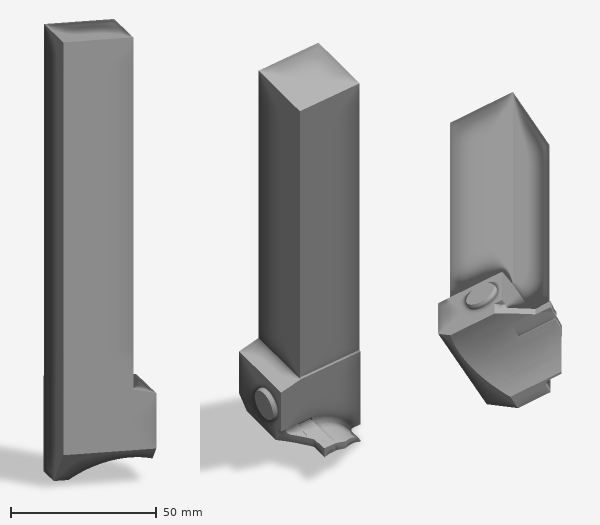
import cadquery as cq
import math


overall_length = 159.88
shank_size = 25.0
head_step = 0.5
head_top = 34.75
head_left = -shank_size - head_step
head_depth = 33.2
shoulder_angle = 13.5
corner_chamfer = 12.5

screw_diameter = 11.86
screw_top = 35.1
screw_x = -17.8
screw_z = 21.5
screw_rim_height = 1.0
screw_rim_width = 0.4

blade_apex_y = 25.0
outer_radius = 23.0
outer_apex_z = 12.5
inner_radius = 26.0
inner_apex_z = 9.0
blade_tip = -39.1
blade_flat_y = 15.7
blade_foot_x = -32.3
blade_foot_y = 4.4
root_radius = 1.5

gash_angle = 35.0
gash_ceiling = 14.0
gash_y_at_head = 31.0

edge_tip = -40.04
edge_back = -36.0
rake_y = 25.07
bar_front = 20.2
bar_back = 26.0
bar_bottom = inner_apex_z
bar_top = outer_apex_z
edge_bottom = 8.75
edge_top = 13.0
edge_narrowing = 0.25
relief_angle = 7.0
relief_end_y = 22.1

seat_end = head_left + 1.0
seat_ceiling = 14.0

outer_centre_z = outer_apex_z - outer_radius
inner_centre_z = inner_apex_z - inner_radius


def box(x0, x1, y0, y1, z0, z1):
    return cq.Workplane("XY").box(x1 - x0, y1 - y0, z1 - z0, centered=False).translate((x0, y0, z0))


def cylinder_along_x(radius, centre_z, x0, x1):
    return (
        cq.Workplane("YZ", origin=(x0, 0, 0))
        .center(blade_apex_y, centre_z)
        .circle(radius)
        .extrude(x1 - x0)
    )


def gash():
    """Everything behind the rake plane and the slanted gash wall, below the gash ceiling."""
    slope = math.tan(math.radians(gash_angle))
    wall_start_x = head_left - (gash_y_at_head - rake_y) / slope
    wall_end_x = head_left + (head_depth - gash_y_at_head) / slope
    return (
        cq.Workplane("XY")
        .polyline([
            (edge_tip, rake_y),
            (wall_start_x, rake_y),
            (wall_end_x, head_depth),
            (edge_tip, head_depth),
        ])
        .close()
        .extrude(gash_ceiling)
    )


def make_shank_and_head():
    shank = box(-shank_size, 0, 0, shank_size, 0, overall_length)
    head = box(head_left, 0, 0, head_depth, 0, head_top)
    step_bevel = (
        cq.Workplane("XZ")
        .polyline([
            (head_left, head_top),
            (head_left, head_top - head_step),
            (-shank_size, head_top),
        ])
        .close()
        .extrude(-head_depth)
    )
    shoulder_start_z = head_top - head_step
    drop = (head_depth - shank_size) * math.tan(math.radians(shoulder_angle))
    shoulder_cut = (
        cq.Workplane("YZ", origin=(head_left, 0, 0))
        .polyline([
            (shank_size, head_top),
            (shank_size, shoulder_start_z),
            (head_depth, shoulder_start_z - drop),
            (head_depth, head_top),
        ])
        .close()
        .extrude(-head_left)
    )
    corner_cut = (
        cq.Workplane("XZ")
        .polyline([(0, 0), (-corner_chamfer, 0), (0, corner_chamfer)])
        .close()
        .extrude(-head_depth)
    )
    return head.cut(step_bevel).cut(shoulder_cut).union(shank).cut(corner_cut)


def make_screw_head():
    radius = screw_diameter / 2
    rim_start = screw_top - screw_rim_height
    return (
        cq.Workplane("XY", origin=(screw_x, 0, screw_z))
        .polyline([
            (0, head_depth),
            (radius, head_depth),
            (radius, rim_start),
            (radius - screw_rim_width, screw_top),
            (0, screw_top),
        ])
        .close()
        .revolve(360, (0, 0, 0), (0, 1, 0))
    )


def make_blade():
    """Blade behind its outer arc, with the flared root that blends it into the head."""
    end_slope = (blade_foot_x - blade_tip) / (blade_flat_y - blade_foot_y)
    end_x_at_front = blade_foot_x + blade_foot_y * end_slope
    section = (
        cq.Workplane("XY", origin=(0, 0, outer_centre_z))
        .moveTo(blade_tip, 0)
        .lineTo(blade_tip, outer_radius)
        .lineTo(head_left - root_radius, outer_radius)
        .radiusArc((head_left, outer_radius + root_radius), -root_radius)
        .lineTo(head_left, 0)
        .close()
    )
    turned = section.revolve(360, (0, 0, 0), (1, 0, 0)).translate((0, blade_apex_y, 0))
    outline = (
        cq.Workplane("XY")
        .polyline([
            (head_left, 0),
            (end_x_at_front, 0),
            (blade_tip, blade_flat_y),
            (blade_tip, head_depth),
            (head_left, head_depth),
        ])
        .close()
        .extrude(head_top)
    )
    return turned.intersect(outline)


def make_holder():
    holder = make_shank_and_head().union(make_blade())
    holder = holder.cut(cylinder_along_x(inner_radius, inner_centre_z, edge_tip, 0))
    holder = holder.cut(gash())
    pocket = box(edge_tip, seat_end, bar_front, bar_back, 0, seat_ceiling)
    return holder.cut(pocket).union(make_screw_head())


def make_insert():
    """Straight bar with a slightly wider cutting edge whose flanks are relieved below the rake face."""
    relief = (rake_y - relief_end_y) * math.tan(math.radians(relief_angle))
    bar = box(edge_tip + relief, seat_end, bar_front, bar_back, bar_bottom, bar_top)
    edge = (
        cq.Workplane("XZ", origin=(0, rake_y, 0))
        .polyline([
            (edge_tip, edge_bottom),
            (edge_back, edge_bottom + edge_narrowing),
            (edge_back, edge_top - edge_narrowing),
            (edge_tip, edge_top),
        ])
        .close()
        .extrude(rake_y - bar_front, taper=relief_angle)
    )
    return bar.union(edge).cut(gash())


holder = make_holder()
insert = make_insert()
result = cq.Compound.makeCompound([holder.val(), insert.val()])